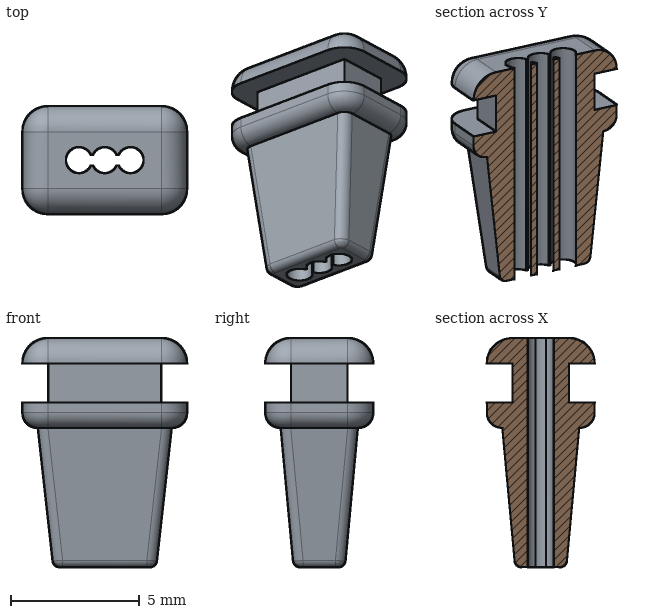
import cadquery as cq

length = 6.4
width = 4.2
corner_radius = 1.0

plug_height = 5.4
flange_height = 1.0
neck_height = 1.5
cap_height = 1.0

flange_fillet = 0.6
plug_corner_radius = corner_radius - flange_fillet
plug_bottom_fillet = 0.3

plug_bottom_length = 4.0
plug_bottom_width = 2.0

hole_diameter = 1.0
hole_pitch = 1.0
hole_count = 3
slot_width = 0.4
slot_length = hole_pitch / 2

neck_length = length - 2 * corner_radius
neck_width = width - 2 * corner_radius

plug_top_length = length - 2 * flange_fillet
plug_top_width = width - 2 * flange_fillet

flange_bottom = plug_height
neck_bottom = flange_bottom + flange_height
cap_bottom = neck_bottom + neck_height
total_height = cap_bottom + cap_height


def block(size_x, size_y, height, bottom):
    """Plain box centred on the Z axis, standing on the given level."""
    return cq.Workplane("XY", origin=(0, 0, bottom)).box(size_x, size_y, height, centered=(True, True, False))


def tapered_prism(plane, bottom_size, top_size, depth):
    """Trapezoid as tall as the plug, drawn on an upright plane and extruded to both sides."""
    outline = [
        (-bottom_size / 2, 0),
        (bottom_size / 2, 0),
        (top_size / 2, plug_height),
        (-top_size / 2, plug_height),
    ]
    return cq.Workplane(plane).polyline(outline).close().extrude(depth / 2, both=True)


def make_plug():
    """Plug narrowing downwards in both directions, with rounded corners and bottom edge."""
    taper_along_x = tapered_prism("XZ", plug_bottom_length, plug_top_length, plug_top_width)
    taper_along_y = tapered_prism("YZ", plug_bottom_width, plug_top_width, plug_top_length)
    plug = taper_along_x.intersect(taper_along_y)
    plug = plug.edges("not(#Z)").fillet(plug_corner_radius)
    return plug.faces("<Z").edges().fillet(plug_bottom_fillet)


def make_flange():
    """Flange with rounded corners and a filleted lower edge."""
    flange = block(length, width, flange_height, flange_bottom).edges("|Z").fillet(corner_radius)
    return flange.faces("<Z").edges().fillet(flange_fillet)


def make_cap():
    """Cap with quarter-round edges and spherical corners, flat underneath."""
    rounded_height = cap_height + 2 * corner_radius
    rounded_block = block(length, width, rounded_height, total_height - rounded_height)
    rounded_block = rounded_block.edges().fillet(corner_radius)
    return rounded_block.intersect(block(length, width, cap_height, cap_bottom))


def cut_cable_holes(body):
    """Cut the row of round holes through the full height, opening each into the next with a short slot."""
    first_x = -hole_pitch * (hole_count - 1) / 2
    slot = block(slot_length, slot_width, total_height, 0)
    hole = cq.Workplane("XY").circle(hole_diameter / 2).extrude(total_height)
    for index in range(hole_count):
        hole_x = first_x + index * hole_pitch
        if index > 0:
            body = body.cut(slot.translate((hole_x - hole_pitch / 2, 0, 0)))
        body = body.cut(hole.translate((hole_x, 0, 0)))
    return body


neck = block(neck_length, neck_width, neck_height, neck_bottom)
body = make_plug().union(make_flange()).union(neck).union(make_cap())
result = cut_cable_holes(body)